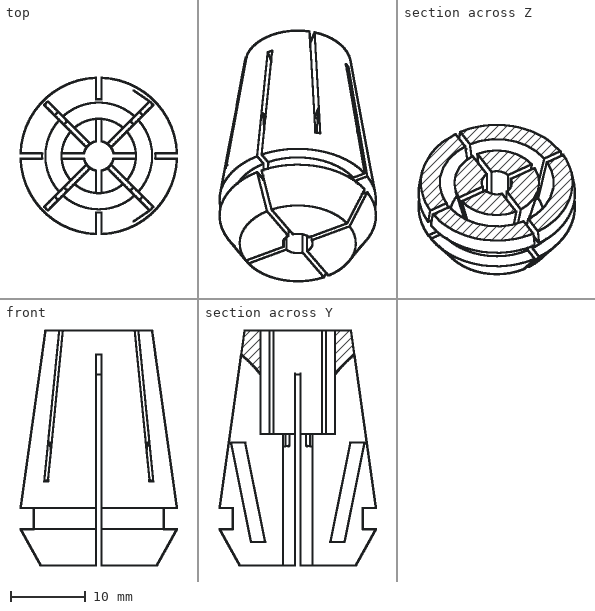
import cadquery as cq
import math

height = 31.5
max_radius = 10.5
top_radius = 7.15
nose_radius = 7.78
nose_height = 4.88
groove_radius = 8.73
groove_top = 7.7

clamp_radius = 2.0
bore_radius = 4.98
bore_floor = 17.65

relief_top = 16.47
relief_bottom = 3.15
relief_outer_top = 8.95
relief_outer_bottom = 6.27
relief_width = 1.9

slot_width = 0.7
saw_radius = 15.12
front_saw_offset = 17.0
front_saw_z = 16.4
rear_saw_offset = 13.32
rear_saw_z = 26.02
slot_inner_radius = clamp_radius - 0.05
slot_outer_radius = max_radius + 0.3


def revolved(points):
    """Revolve a closed (radius, z) outline about the Z axis."""
    return cq.Workplane("XZ").polyline(points).close().revolve(360, (0, 0, 0), (0, 1, 0))


def slot(saw_offset, saw_z, side, open_z, angle):
    """Radial slot from open_z to an arc; side is +1 for an arc above the saw centre, -1 below."""

    def arc_point(radius):
        return radius, saw_z + side * math.sqrt(saw_radius**2 - (saw_offset - radius) ** 2)

    middle_radius = (slot_inner_radius + slot_outer_radius) / 2
    return (
        cq.Workplane("XZ")
        .moveTo(slot_inner_radius, open_z)
        .lineTo(*arc_point(slot_inner_radius))
        .threePointArc(arc_point(middle_radius), arc_point(slot_outer_radius))
        .lineTo(slot_outer_radius, open_z)
        .close()
        .extrude(slot_width / 2, both=True)
        .rotate((0, 0, 0), (0, 0, 1), angle)
    )


body = revolved([
    (0, 0),
    (nose_radius, 0),
    (max_radius, nose_height),
    (groove_radius, nose_height),
    (groove_radius, groove_top),
    (max_radius, groove_top),
    (top_radius, height),
    (0, height),
])

bore = revolved([
    (0, 0),
    (clamp_radius, 0),
    (clamp_radius, bore_floor),
    (bore_radius, bore_floor),
    (bore_radius, height),
    (0, height),
])

relief = revolved([
    (relief_outer_bottom - relief_width, relief_bottom),
    (relief_outer_bottom, relief_bottom),
    (relief_outer_top, relief_top),
    (relief_outer_top - relief_width, relief_top),
])

result = body.cut(bore).cut(relief)

for quarter in range(4):
    angle = 90 * quarter
    result = result.cut(slot(front_saw_offset, front_saw_z, 1, 0, angle))
    result = result.cut(slot(rear_saw_offset, rear_saw_z, -1, height, angle + 45))